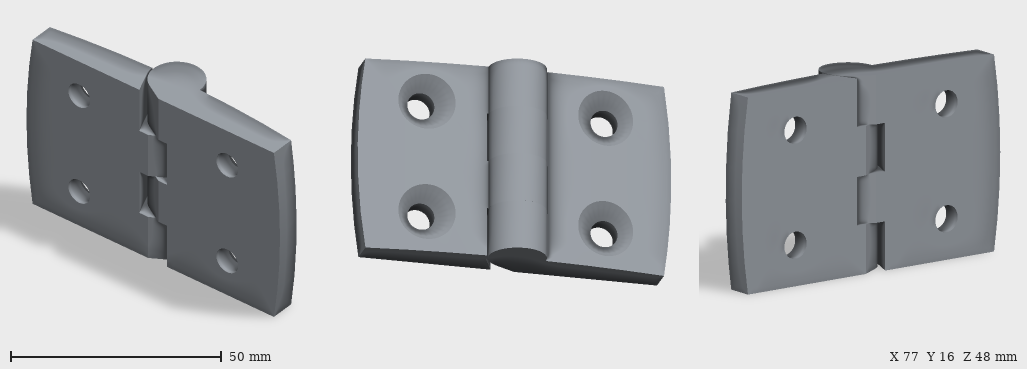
import cadquery as cq
import math

half_length = 38.5
width = 48.0
end_bow = 1.85

end_thickness = 6.3

axis_height = 9.0
knuckle_radius = 7.0
clearance_radius = 7.4
knuckle_foot = 1.55
relief_foot = 4.2
knuckle_count = 4
knuckle_height = width / knuckle_count
pin_diameter = 6.0

hole_diameter = 6.6
countersink_diameter = 13.85
hole_offset = 22.5
hole_half_spacing = 14.0

mounting_face = -axis_height
half_width = width / 2


def extrude_z(sketch, bottom, height):
    """Extrude an XY outline upward from the level given by bottom."""
    return sketch.extrude(height).translate((0, 0, bottom))


def crown_y(x):
    """Y of the crown arc at a distance x from the hinge axis."""
    drop = axis_height - end_thickness
    radius = (half_length**2 + drop**2) / (2 * drop)
    return math.sqrt(radius**2 - x**2) - radius


def tangent_point(radius, foot):
    """Point where the flank through (foot, mounting_face) touches a circle about the axis.

    The circle is touched on the side of negative X.
    """
    distance = math.hypot(foot, mounting_face)
    angle = math.atan2(mounting_face, foot) - math.acos(radius / distance)
    return radius * math.cos(angle), radius * math.sin(angle)


def leaf_plate():
    """Crowned plate from inside the barrel to a bowed end on the +X side."""
    middle = (relief_foot + half_length) / 2
    profile = (
        cq.Workplane("XY")
        .moveTo(relief_foot, mounting_face)
        .lineTo(half_length, mounting_face)
        .lineTo(half_length, crown_y(half_length))
        .threePointArc((middle, crown_y(middle)), (relief_foot, crown_y(relief_foot)))
        .close()
    )
    corner = half_length - end_bow
    outline = (
        cq.Workplane("XZ")
        .moveTo(0, -half_width)
        .lineTo(corner, -half_width)
        .threePointArc((half_length, 0), (corner, half_width))
        .lineTo(0, half_width)
        .close()
        .extrude(axis_height, both=True)
    )
    return extrude_z(profile, -half_width, width).intersect(outline)


def relief(bottom):
    """Space cleared from the plate beside one knuckle of the other leaf."""
    touch_x, touch_y = tangent_point(clearance_radius, -relief_foot)
    flank = (
        cq.Workplane("XY")
        .moveTo(0, 0)
        .lineTo(-touch_x, touch_y)
        .lineTo(relief_foot, mounting_face)
        .lineTo(0, mounting_face)
        .close()
    )
    barrel = cq.Workplane("XY").circle(clearance_radius)
    return extrude_z(barrel, bottom, knuckle_height).union(
        extrude_z(flank, bottom, knuckle_height)
    )


def knuckle(bottom):
    """Barrel segment with its flat flank and its root in the plate."""
    touch_x, touch_y = tangent_point(knuckle_radius, knuckle_foot)
    foot = (
        cq.Workplane("XY")
        .moveTo(0, 0)
        .lineTo(touch_x, touch_y)
        .lineTo(knuckle_foot, mounting_face)
        .lineTo(clearance_radius, mounting_face)
        .lineTo(clearance_radius, crown_y(clearance_radius))
        .lineTo(0, crown_y(clearance_radius))
        .close()
    )
    barrel = cq.Workplane("XY").circle(knuckle_radius)
    return extrude_z(barrel, bottom, knuckle_height).union(
        extrude_z(foot, bottom, knuckle_height)
    )


def screw_holes():
    """Two through holes along Y, countersunk to the crown."""
    hole_radius = hole_diameter / 2
    sink_radius = countersink_diameter / 2
    sink_depth = sink_radius - hole_radius
    sink_top = crown_y(hole_offset)
    cutter = (
        cq.Workplane("XY")
        .moveTo(0, mounting_face)
        .lineTo(hole_radius, mounting_face)
        .lineTo(hole_radius, sink_top - sink_depth)
        .lineTo(sink_radius + sink_depth, sink_top + sink_depth)
        .lineTo(0, sink_top + sink_depth)
        .close()
        .revolve(360, (0, 0), (0, 1))
    )
    upper = cutter.translate((hole_offset, 0, hole_half_spacing))
    lower = cutter.translate((hole_offset, 0, -hole_half_spacing))
    return upper.union(lower)


def leaf():
    """Leaf on the +X side, holding the top knuckle and every second one below it."""
    body = leaf_plate()
    for index in range(knuckle_count):
        bottom = -half_width + index * knuckle_height
        if index % 2 == 1:
            body = body.union(knuckle(bottom))
        else:
            body = body.cut(relief(bottom))
    return body.cut(hinge_pin()).cut(screw_holes())


def hinge_pin():
    """Plain pin, flush with both ends of the barrel."""
    return extrude_z(cq.Workplane("XY").circle(pin_diameter / 2), -half_width, width)


leaves = [leaf().rotate((0, 0, 0), (0, 1, 0), turn) for turn in (0, 180)]
pin = hinge_pin()

result = cq.Compound.makeCompound([*[body.val() for body in leaves], pin.val()])